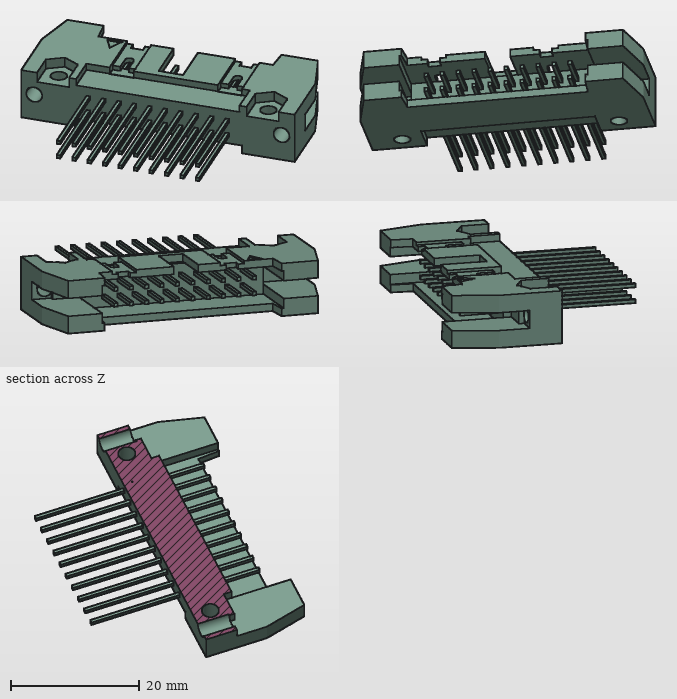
import cadquery as cq

length = 45.0
height = 8.5
top = height / 2
mating_y = 13.9
bottom_mating_y = 13.75
ear_end_y = 17.35
ear_taper_y = 10.25
ear_tip_outer_x = 20.6
ear_tip_inner_x = 14.62
ear_root_inner_x = 14.35

cavity_half_x = 15.0
cavity_half_z = 3.0
cavity_floor_y = 7.42
latch_half_z = 1.45
latch_inner_x = 19.3
latch_floor_y = 6.1
latch_deep_floor_y = 5.25

hole_diameter = 2.6
mount_x = 17.25
mount_y = 2.9
nut_width = 5.25
nut_shoulder_y = 4.4
nut_apex_y = 5.9
nut_depth = 1.65
latch_hole_x = 20.35
latch_hole_z = 0.22

ledge_length = 26.85
ledge_width = 5.15
ledge_depth = 1.12
bottom_recess_length = 27.68
bottom_recess_depth = 1.4

key_width = 4.0
key_floor_y = 6.5

channel_centers = (-7.65, 10.15)
channel_width = 3.95
channel_depth = 0.45
channel_step_y = 6.6
channel_step_depth = 1.2
notch_width = 2.0
notch_floor_y = 12.8
slot_width = 1.4
slot_end_y = 9.68

mark_x = -11.5
mark_half_width = 1.25
mark_base_y = 13.55
mark_apex_y = 11.05
mark_depth = 0.25

pins_per_row = 10
pin_row_length = 22.85
pitch = pin_row_length / (pins_per_row - 1)
pin_size = 0.6
pin_tail_y = -14.95
pin_contact_y = 13.5


def box(x_min, x_max, y_min, y_max, z_min, z_max):
    size = (x_max - x_min, y_max - y_min, z_max - z_min)
    return cq.Workplane("XY").box(*size, centered=False).translate((x_min, y_min, z_min))


def centered_box(x, width, y_min, y_max, z_min, z_max):
    return box(x - width / 2, x + width / 2, y_min, y_max, z_min, z_max)


def blank():
    right_side = [
        (length / 2, 0),
        (length / 2, ear_taper_y),
        (ear_tip_outer_x, ear_end_y),
        (ear_tip_inner_x, ear_end_y),
        (ear_root_inner_x, mating_y),
    ]
    left_side = [(-x, y) for x, y in reversed(right_side)]
    outline = cq.Workplane("XY").workplane(offset=-top).polyline(right_side + left_side)
    return outline.close().extrude(height)


def cavity():
    main = centered_box(0, 2 * cavity_half_x, cavity_floor_y, ear_end_y, -cavity_half_z, cavity_half_z)
    latch = centered_box(0, length, latch_floor_y, ear_end_y, -latch_half_z, latch_half_z)
    inner_block = centered_box(
        0, 2 * cavity_half_x, latch_floor_y, cavity_floor_y, -latch_half_z, latch_half_z)
    space = main.union(latch.cut(inner_block))
    for x_min, x_max in ((-length / 2, -latch_inner_x), (latch_inner_x, length / 2)):
        space = space.union(
            box(x_min, x_max, latch_deep_floor_y, ear_end_y, -latch_half_z, latch_half_z))
    return space


def mounting(side):
    x = side * mount_x
    through_hole = (
        cq.Workplane("XY", origin=(x, mount_y, -top)).circle(hole_diameter / 2).extrude(height))
    half = nut_width / 2
    nut_outline = [
        (x - half, 0),
        (x + half, 0),
        (x + half, nut_shoulder_y),
        (x, nut_apex_y),
        (x - half, nut_shoulder_y),
    ]
    nut_pocket = (
        cq.Workplane("XY").workplane(offset=top - nut_depth).polyline(nut_outline).close()
        .extrude(nut_depth))
    latch_hole = (
        cq.Workplane("XZ", origin=(side * latch_hole_x, 0, latch_hole_z))
        .circle(hole_diameter / 2).extrude(-latch_deep_floor_y))
    return through_hole.union(nut_pocket).union(latch_hole)


def channel(x):
    shallow_z = top - channel_depth
    step_z = top - channel_step_depth
    groove = centered_box(x, channel_width, 0, mating_y, shallow_z, top)
    step = centered_box(x, channel_width, ledge_width, channel_step_y, step_z, top)
    notch = centered_box(x, notch_width, notch_floor_y, mating_y, 0, top)
    radius = slot_width / 2
    arc_y = slot_end_y - radius
    slot_mouth = centered_box(x, slot_width, channel_step_y, cavity_floor_y, step_z, top)
    slot = centered_box(x, slot_width, cavity_floor_y, arc_y, 0, top)
    slot_end = cq.Workplane("XY", origin=(x, arc_y, 0)).circle(radius).extrude(top)
    return groove.union(step).union(notch).union(slot_mouth).union(slot).union(slot_end)


def pin_one_mark():
    corners = [
        (mark_x - mark_half_width, mark_base_y),
        (mark_x + mark_half_width, mark_base_y),
        (mark_x, mark_apex_y),
    ]
    return (
        cq.Workplane("XY").workplane(offset=top - mark_depth).polyline(corners).close()
        .extrude(mark_depth))


housing = blank().cut(cavity())
housing = housing.cut(
    centered_box(0, 2 * ear_root_inner_x, bottom_mating_y, mating_y, -top, 0))
housing = housing.cut(centered_box(0, ledge_length, 0, ledge_width, top - ledge_depth, top))
housing = housing.cut(
    centered_box(0, bottom_recess_length, 0, ledge_width, -top, -top + bottom_recess_depth))

housing = housing.cut(centered_box(0, key_width, key_floor_y, mating_y, cavity_half_z, top))

for side in (-1, 1):
    housing = housing.cut(mounting(side))
for channel_x in channel_centers:
    housing = housing.cut(channel(channel_x))
housing = housing.cut(pin_one_mark())

result = housing
for column in range(pins_per_row):
    pin_x = column * pitch - pin_row_length / 2
    for pin_z in (-pitch / 2, pitch / 2):
        pin = centered_box(
            pin_x, pin_size, pin_tail_y, pin_contact_y, pin_z - pin_size / 2, pin_z + pin_size / 2)
        result = result.union(pin)